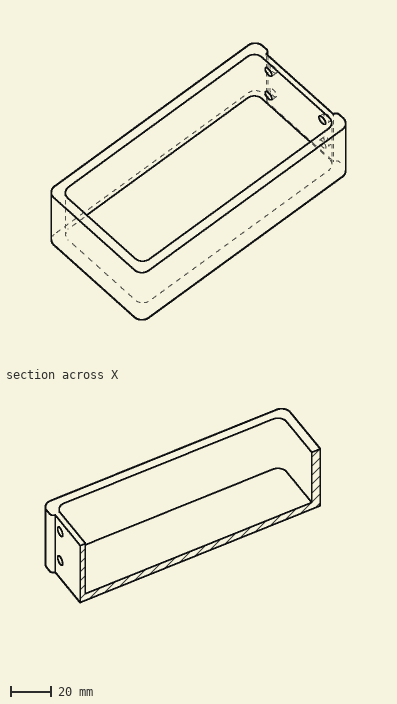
import cadquery as cq

width = 70.0
length = 140.0
height = 40.0
wall = 5.0
floor = 5.0
corner_radius = 5.0

recess_width = 50.0
recess_depth = 2.0

hole_diameter = 5.0
hole_spacing_x = 40.0
hole_spacing_z = 20.0
hole_centre_z = (floor + height) / 2


def make_body():
    """Solid block with rounded vertical corners."""
    block = cq.Workplane("XY").box(width, length, height, centered=(True, True, False))
    return block.edges("|Z").fillet(corner_radius)


def make_cavity():
    """Open-topped pocket that leaves even walls around the floor."""
    pocket = cq.Workplane("XY").workplane(offset=floor).box(
        width - 2 * wall, length - 2 * wall, height - floor, centered=(True, True, False)
    )
    return pocket.edges("|Z").fillet(corner_radius)


def make_recess():
    """Full-height recess whose side walls are convex quarter rounds as deep as the recess."""
    end_y = length / 2
    bottom_y = end_y - recess_depth
    half_bottom = recess_width / 2
    half_mouth = half_bottom + recess_depth
    return (
        cq.Workplane("XY")
        .moveTo(-half_bottom, bottom_y)
        .lineTo(half_bottom, bottom_y)
        .radiusArc((half_mouth, end_y), recess_depth)
        .lineTo(-half_mouth, end_y)
        .radiusArc((-half_bottom, bottom_y), recess_depth)
        .close()
        .extrude(height)
    )


def make_holes():
    """Four screw holes along Y, limited to the +Y end wall."""
    return (
        cq.Workplane("XZ", origin=(0, length / 2, hole_centre_z))
        .rarray(hole_spacing_x, hole_spacing_z, 2, 2)
        .circle(hole_diameter / 2)
        .extrude(2 * wall)
    )


result = make_body().cut(make_cavity()).cut(make_recess()).cut(make_holes())